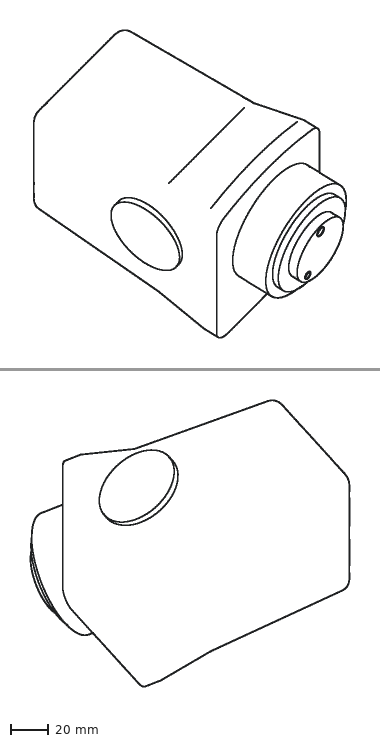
import cadquery as cq
import math


TOTAL_LENGTH = 163.6
WAIST_X = 89.0
FLANGE_X = 121.5
FLANGE_THICKNESS = 9.5
FLANGE_END_X = FLANGE_X + FLANGE_THICKNESS

END_HALF_WIDTH = 40.9
END_BOTTOM = -47.1
END_TOP = 34.2
END_CORNER = 7.9
END_FILLET = 6.4

WAIST_HALF_WIDTH = 43.2
WAIST_BOTTOM = -53.7
WAIST_TOP = 36.5
WAIST_CORNER = 10.5

FLANGE_HALF_WIDTH = 44.8
FLANGE_BOTTOM = -58.6
FLANGE_TOP = 49.9
FLANGE_CORNER = 9.8
CROWN_RADIUS = 144.0

BOSS_X = 83.6
BOSS_DIAMETER = 46.8
BOSS_SPAN = 93.0

CONNECTOR_Y = 4.3
BODY_DIAMETER = 70.2
BODY_END_X = 153.5
COLLAR_DIAMETER = 58.5
COLLAR_END_X = 157.5
NOSE_DIAMETER = 40.3
PIN_HEIGHT = 0.5
NOSE_END_X = TOTAL_LENGTH - PIN_HEIGHT

PIN_CIRCLE_RADIUS = 15.7
PINS = [(5.7, 90), (4.6, 225)]


def section(x, half_width, bottom, top, corner, crown_radius=None):
    """Rounded rectangle across X, with a flat top or a top arched to crown_radius."""
    center_y = half_width - corner
    low_z = bottom + corner
    if crown_radius:
        crown_z = top - crown_radius
        high_z = crown_z + math.sqrt((crown_radius - corner) ** 2 - center_y ** 2)
        tilt = math.asin(center_y / (crown_radius - corner))
    else:
        high_z = top - corner
        tilt = 0.0

    mid_angle = (math.pi / 2 - tilt) / 2
    mid_y = center_y + corner * math.cos(mid_angle)
    mid_z = high_z + corner * math.sin(mid_angle)
    top_y = center_y + corner * math.sin(tilt)
    top_z = high_z + corner * math.cos(tilt)
    diagonal = corner * math.sqrt(0.5)

    outline = (
        cq.Workplane("YZ", origin=(x, 0, 0))
        .moveTo(-center_y, bottom)
        .lineTo(center_y, bottom)
        .threePointArc((center_y + diagonal, low_z - diagonal), (half_width, low_z))
        .lineTo(half_width, high_z)
        .threePointArc((mid_y, mid_z), (top_y, top_z))
    )
    if crown_radius:
        outline = outline.threePointArc((0, top), (-top_y, top_z))
    else:
        outline = outline.lineTo(-top_y, top_z)
    return (
        outline.threePointArc((-mid_y, mid_z), (-half_width, high_z))
        .lineTo(-half_width, low_z)
        .threePointArc((-center_y - diagonal, low_z - diagonal), (-center_y, bottom))
        .close()
    )


def loft_between(first, second):
    wires = [first.val(), second.val()]
    return cq.Workplane(cq.Solid.makeLoft(wires, True))


def hood():
    end = section(0, END_HALF_WIDTH, END_BOTTOM, END_TOP, END_CORNER)
    waist = section(WAIST_X, WAIST_HALF_WIDTH, WAIST_BOTTOM, WAIST_TOP, WAIST_CORNER)
    rim = section(
        FLANGE_X, FLANGE_HALF_WIDTH, FLANGE_BOTTOM, FLANGE_TOP, FLANGE_CORNER, CROWN_RADIUS
    )
    box = loft_between(end, waist).faces("<X").edges().fillet(END_FILLET)
    flare = loft_between(waist, rim)
    return box.union(flare).union(rim.extrude(FLANGE_THICKNESS))


def side_bosses():
    """One cylinder through the hood that stands out on both sides."""
    return (
        cq.Workplane("XZ")
        .center(BOSS_X, 0)
        .circle(BOSS_DIAMETER / 2)
        .extrude(BOSS_SPAN / 2, both=True)
    )


def disc(start_x, end_x, diameter, y=0, z=0):
    plane = cq.Workplane("YZ", origin=(start_x, y, z))
    return plane.circle(diameter / 2).extrude(end_x - start_x)


def connector():
    steps = disc(FLANGE_END_X, BODY_END_X, BODY_DIAMETER)
    steps = steps.union(disc(BODY_END_X, COLLAR_END_X, COLLAR_DIAMETER))
    steps = steps.union(disc(COLLAR_END_X, NOSE_END_X, NOSE_DIAMETER))
    for diameter, degrees in PINS:
        angle = math.radians(degrees)
        y = PIN_CIRCLE_RADIUS * math.cos(angle)
        z = PIN_CIRCLE_RADIUS * math.sin(angle)
        steps = steps.union(disc(NOSE_END_X, TOTAL_LENGTH, diameter, y, z))
    return steps.translate((0, CONNECTOR_Y, 0))


result = hood().union(side_bosses()).union(connector())